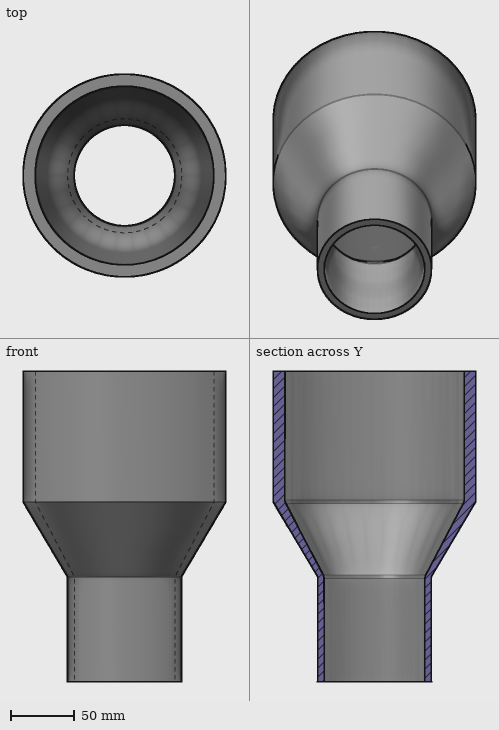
import cadquery as cq

total_height = 245.0
large_diameter = 160.0
large_wall = 9.5
small_diameter = 90.0
small_wall = 5.4
small_end_height = 83.0
cone_height = 59.0
outer_knee_radius = 1.5
bore_knee_radius = 6.0

large_outer_radius = large_diameter / 2
small_outer_radius = small_diameter / 2
large_bore_radius = large_outer_radius - large_wall
small_bore_radius = small_outer_radius - small_wall
cone_top = small_end_height + cone_height


def reducer_solid(upper_radius, lower_radius, knee_radius):
    """Solid of revolution: lower cylinder, cone and upper cylinder, with rounded knees."""
    sharp_solid = (
        cq.Workplane("XZ")
        .lineTo(lower_radius, 0)
        .lineTo(lower_radius, small_end_height)
        .lineTo(upper_radius, cone_top)
        .lineTo(upper_radius, total_height)
        .lineTo(0, total_height)
        .close()
        .revolve(360, (0, 0, 0), (0, 1, 0))
    )
    knee_edges = sharp_solid.edges("%CIRCLE").edges("(not <Z) and (not >Z)")
    return knee_edges.fillet(knee_radius)


outer_body = reducer_solid(large_outer_radius, small_outer_radius, outer_knee_radius)
bore = reducer_solid(large_bore_radius, small_bore_radius, bore_knee_radius)

result = outer_body.cut(bore)